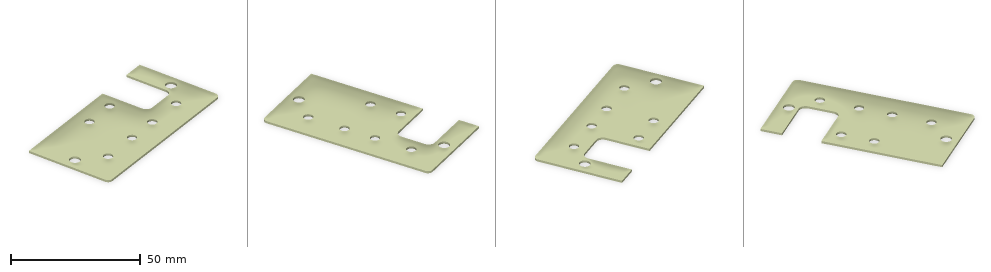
import cadquery as cq

width = 38.0
length = 75.0
thickness = 1.0
corner_radius = 2.0

notch_top = 28.6
notch_bottom = 12.4
notch_end_x = 2.5
notch_radius = 2.85

mount_diameter = 4.6
mount_x = -0.75
mount_y = 32.5
hole_diameter = 4.0
right_column_x = 8.3
left_column_x = -11.8
inner_row_y = 6.8
outer_row_y = 23.0


def mirrored(points):
    """Return the points together with their mirror images about the X axis."""
    return [(x, side * y) for x, y in points for side in (1, -1)]


plate = (
    cq.Workplane("XY")
    .rect(width, length)
    .extrude(thickness)
    .edges("|Z and >X")
    .fillet(corner_radius)
)

notch_depth = notch_end_x + width / 2
notch = (
    cq.Workplane("XY")
    .center(notch_end_x - notch_depth / 2, (notch_top + notch_bottom) / 2)
    .rect(notch_depth, notch_top - notch_bottom)
    .extrude(thickness)
    .edges("|Z and >X")
    .fillet(notch_radius)
)

mount_points = mirrored([(mount_x, mount_y)])
hole_points = mirrored([
    (right_column_x, inner_row_y),
    (right_column_x, outer_row_y),
    (left_column_x, inner_row_y),
])

result = (
    plate.cut(notch)
    .faces(">Z")
    .workplane(origin=(0, 0, thickness))
    .pushPoints(mount_points)
    .hole(mount_diameter)
    .pushPoints(hole_points)
    .hole(hole_diameter)
)